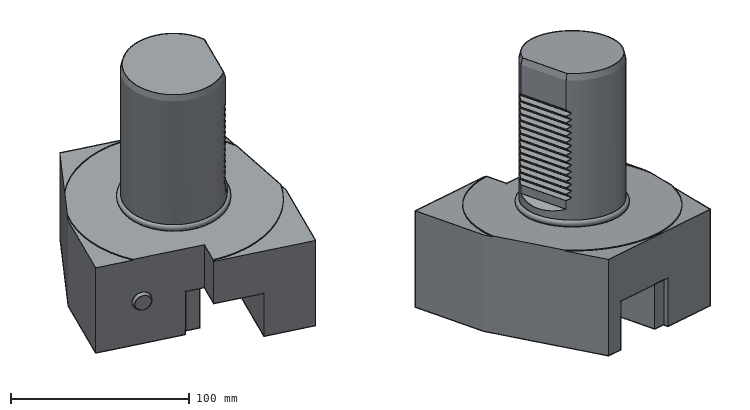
import cadquery as cq
import math


HALF_WIDTH = 62.5
BODY_HEIGHT = 60.0
TAPER_ANGLE = 15.0
BACK_TAPER_START_Y = 42.5
FRONT_TAPER_START_Y = -45.9
NOTCH_X = 46.5
NOTCH_Y = 2.0

BEARING_RADIUS = 61.5
BEARING_STEP = 0.5

SLOT_DEPTH = 30.0
SLOT_BACK_Y = 31.8
SLOT_FRONT_Y = -9.2

BAR_END_INSET = 2.0
BAR_EDGE_INSET = 1.0
BAR_BACK_Y = 0.0
BAR_SCREW_GAP = 1.0
BAR_SCREW_DIAMETER = 12.0
SCREW_OVERLAP = 1.0

NOZZLE_DIAMETER = 12.0
NOZZLE_CENTER_DEPTH = 1.2
NOZZLE_PROTRUSION = 2.2
NOZZLE_Y = -35.0

SHANK_RADIUS = 30.0
SHANK_LENGTH = 94.0
SHANK_CHAMFER_HEIGHT = 4.0
SHANK_CHAMFER_ANGLE = 15.0
FLAT_Y = 25.0
FLAT_START_Z = 10.7
FLAT_RAMP_ANGLE = 28.0
TOOTH_COUNT = 14
TOOTH_PITCH = 4.0
TOOTH_DEPTH = 1.8
FIRST_TOOTH_Z = 18.0

RING_OUTER_DIAMETER = 64.19
RING_SECTION_RADIUS = 2.0
RING_Z = 2.1


def box_between(x_range, y_range, z_range):
    """Box spanning the given coordinate ranges."""
    size = [high - low for low, high in (x_range, y_range, z_range)]
    corner = cq.Vector(x_range[0], y_range[0], z_range[0])
    return cq.Workplane("XY").box(*size, centered=False).translate(corner)


def taper_run(start_y):
    """X length of a tapered side from the left face to the back or front face."""
    return (HALF_WIDTH - abs(start_y)) / math.tan(math.radians(TAPER_ANGLE))


def make_body():
    """Block with two tapered sides, a corner notch, a round bearing face and a slot."""
    outline = [
        (-HALF_WIDTH, FRONT_TAPER_START_Y),
        (-HALF_WIDTH + taper_run(FRONT_TAPER_START_Y), -HALF_WIDTH),
        (NOTCH_X, -HALF_WIDTH),
        (NOTCH_X, NOTCH_Y),
        (HALF_WIDTH, NOTCH_Y),
        (HALF_WIDTH, HALF_WIDTH),
        (-HALF_WIDTH + taper_run(BACK_TAPER_START_Y), HALF_WIDTH),
        (-HALF_WIDTH, BACK_TAPER_START_Y),
    ]
    block = cq.Workplane("XY").workplane(offset=-BODY_HEIGHT).polyline(outline).close().extrude(BODY_HEIGHT)
    outside_bearing = (
        cq.Workplane("XY")
        .rect(4 * HALF_WIDTH, 4 * HALF_WIDTH)
        .circle(BEARING_RADIUS)
        .extrude(-BEARING_STEP)
    )
    slot = box_between(
        (-HALF_WIDTH, HALF_WIDTH),
        (SLOT_FRONT_Y, SLOT_BACK_Y),
        (-BODY_HEIGHT, -BODY_HEIGHT + SLOT_DEPTH),
    )
    return block.cut(outside_bearing).cut(slot)


def make_clamping_bar():
    """Flat bar held off the front slot wall by a round screw end."""
    bar_front_y = SLOT_FRONT_Y + BAR_SCREW_GAP
    bar_start_x = -HALF_WIDTH + BAR_END_INSET
    bar_end_x = NOTCH_X - BAR_END_INSET
    slot_top_z = -BODY_HEIGHT + SLOT_DEPTH
    bar = box_between(
        (bar_start_x, bar_end_x),
        (bar_front_y, BAR_BACK_Y),
        (-BODY_HEIGHT + BAR_EDGE_INSET, slot_top_z - BAR_EDGE_INSET),
    )
    screw_center = cq.Vector(
        (bar_start_x + bar_end_x) / 2,
        SLOT_FRONT_Y - SCREW_OVERLAP,
        -BODY_HEIGHT + SLOT_DEPTH / 2,
    )
    screw = cq.Solid.makeCylinder(
        BAR_SCREW_DIAMETER / 2,
        BAR_SCREW_GAP + 2 * SCREW_OVERLAP,
        screw_center,
        cq.Vector(0, 1, 0),
    )
    return bar.union(cq.Workplane(screw))


def make_nozzle():
    """Flattened ball standing out of the notch wall at mid height of the body."""
    ball_radius = NOZZLE_DIAMETER / 2
    flat_offset = NOZZLE_CENTER_DEPTH + NOZZLE_PROTRUSION
    flat_radius = math.sqrt(ball_radius**2 - flat_offset**2)
    flat_edge_angle = math.atan2(flat_radius, flat_offset)
    middle_angle = (flat_edge_angle + math.pi / 2) / 2
    arc_middle = (ball_radius * math.cos(middle_angle), ball_radius * math.sin(middle_angle))
    return (
        cq.Workplane("XY", origin=(NOTCH_X - NOZZLE_CENTER_DEPTH, NOZZLE_Y, -BODY_HEIGHT / 2))
        .lineTo(flat_offset, 0)
        .lineTo(flat_offset, flat_radius)
        .threePointArc(arc_middle, (0, ball_radius))
        .close()
        .revolve(360, (0, 0), (1, 0))
    )


def extrude_across(section):
    """Prism of a YZ section running across the full width of the shank."""
    return cq.Workplane("YZ").polyline(section).close().extrude(SHANK_RADIUS, both=True)


def make_shank():
    """Cylindrical shank with a tapered tip and a toothed flat facing +Y."""
    tip_inset = SHANK_CHAMFER_HEIGHT * math.tan(math.radians(SHANK_CHAMFER_ANGLE))
    chamfer_z = SHANK_LENGTH - SHANK_CHAMFER_HEIGHT
    profile = [
        (0, 0),
        (SHANK_RADIUS, 0),
        (SHANK_RADIUS, chamfer_z),
        (SHANK_RADIUS - tip_inset, SHANK_LENGTH),
        (0, SHANK_LENGTH),
    ]
    shank = cq.Workplane("XZ").polyline(profile).close().revolve(360, (0, 0), (0, 1))

    outer_y = 2 * SHANK_RADIUS
    ramp_drop = (outer_y - FLAT_Y) * math.tan(math.radians(FLAT_RAMP_ANGLE))
    flat_section = [
        (FLAT_Y, FLAT_START_Z),
        (FLAT_Y, chamfer_z),
        (FLAT_Y - tip_inset, SHANK_LENGTH),
        (outer_y, SHANK_LENGTH),
        (outer_y, FLAT_START_Z - ramp_drop),
    ]
    shank = shank.cut(extrude_across(flat_section))

    for index in range(TOOTH_COUNT):
        groove_z = FIRST_TOOTH_Z + index * TOOTH_PITCH
        groove = [
            (FLAT_Y, groove_z - TOOTH_PITCH / 2),
            (FLAT_Y - TOOTH_DEPTH, groove_z),
            (FLAT_Y, groove_z + TOOTH_PITCH / 2),
        ]
        shank = shank.cut(extrude_across(groove))
    return shank


def make_sealing_ring():
    """Round-section ring, kept only above the bearing face."""
    ring_center_radius = RING_OUTER_DIAMETER / 2 - RING_SECTION_RADIUS
    ring = (
        cq.Workplane("XZ")
        .center(ring_center_radius, RING_Z)
        .circle(RING_SECTION_RADIUS)
        .revolve(360, (-ring_center_radius, 0), (-ring_center_radius, 1))
    )
    above_face = cq.Workplane("XY").circle(BEARING_RADIUS).extrude(SHANK_LENGTH)
    return ring.intersect(above_face)


result = (
    make_body()
    .union(make_clamping_bar())
    .union(make_nozzle())
    .union(make_shank())
    .union(make_sealing_ring())
)